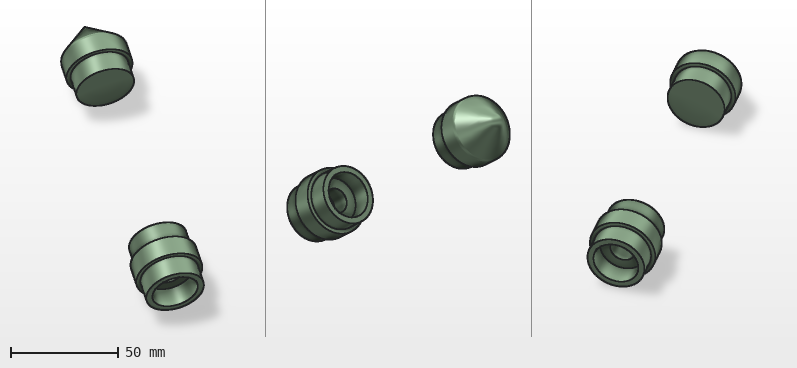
import cadquery as cq

total_length = 157.0
outer_diameter = 32.0
spigot_diameter = 28.0
spigot_length = 10.0

cone_length = outer_diameter / 2
plug_length = 36.0
nose_fillet = 2.0

collar_length = 10.0
socket_diameter = 22.0
socket_depth = 10.0
web_hole_diameter = 12.0

outer_radius = outer_diameter / 2
spigot_radius = spigot_diameter / 2
coupling_length = collar_length + 2 * spigot_length
coupling_start = total_length - coupling_length


def cylinder_along_x(start, length, diameter):
    """Solid cylinder centred on the X axis."""
    return cq.Workplane("YZ", origin=(start, 0, 0)).circle(diameter / 2).extrude(length)


def make_plug():
    """Cone with its point at the origin, a rounded shoulder and a rear spigot."""
    shoulder = plug_length - spigot_length
    profile = (
        cq.Workplane("XY")
        .polyline([
            (0, 0),
            (cone_length, outer_radius),
            (shoulder, outer_radius),
            (shoulder, spigot_radius),
            (plug_length, spigot_radius),
            (plug_length, 0),
        ])
        .close()
    )
    body = profile.revolve(360, (0, 0, 0), (1, 0, 0))
    cone_base_edge = cq.selectors.NearestToPointSelector((cone_length, 0, 0))
    return body.edges("%CIRCLE").edges(cone_base_edge).fillet(nose_fillet)


def make_coupling():
    """Collar between two spigots, with a socket in each end and a holed web between."""
    body = cylinder_along_x(coupling_start, coupling_length, spigot_diameter)
    collar = cylinder_along_x(coupling_start + spigot_length, collar_length, outer_diameter)
    body = body.union(collar)
    for socket_start in (coupling_start, total_length - socket_depth):
        body = body.cut(cylinder_along_x(socket_start, socket_depth, socket_diameter))
    return body.cut(cylinder_along_x(coupling_start, coupling_length, web_hole_diameter))


plug = make_plug()
coupling = make_coupling()

result = cq.Compound.makeCompound([plug.val(), coupling.val()])